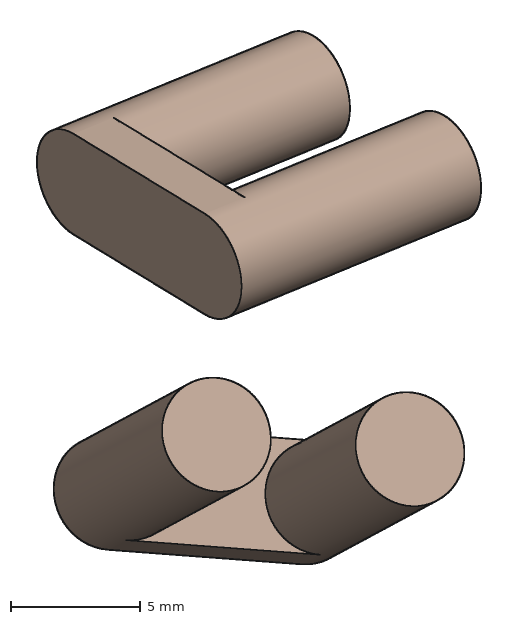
import cadquery as cq

overall_width = 12.5
pin_length = 12.0
pin_diameter = 4.5
bridge_thickness = 2.0

pin_spacing = overall_width - pin_diameter


def make_pins():
    """Two parallel round pins running along +Y from the front face."""
    return (
        cq.Workplane("XZ")
        .pushPoints([(-pin_spacing / 2, 0), (pin_spacing / 2, 0)])
        .circle(pin_diameter / 2)
        .extrude(-pin_length)
    )


def make_bridge():
    """Flat-sided block joining the pin axes, flush with the front face."""
    return (
        cq.Workplane("XZ")
        .rect(pin_spacing, pin_diameter)
        .extrude(-bridge_thickness)
    )


result = make_pins().union(make_bridge())